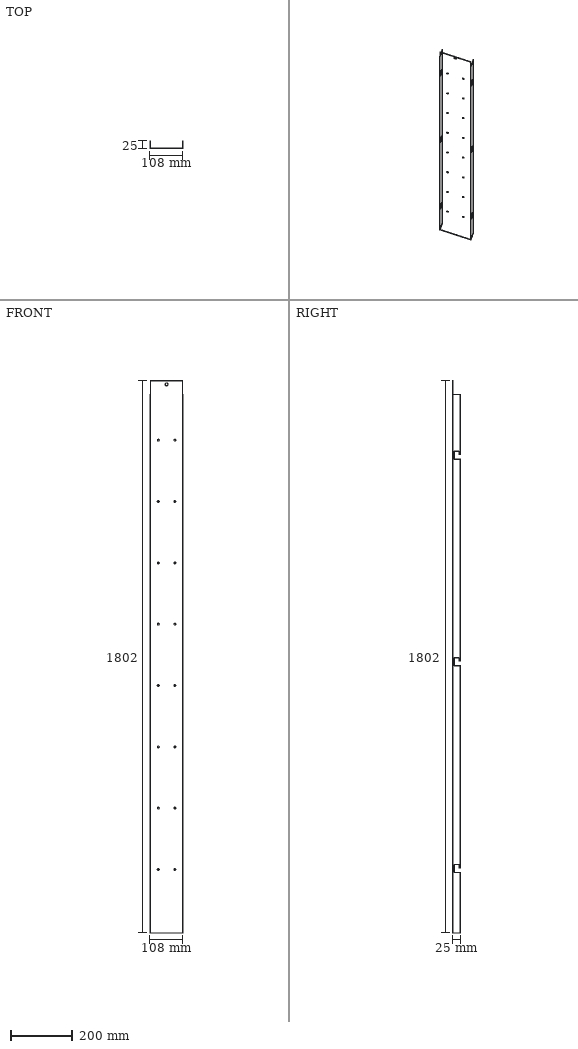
import cadquery as cq

length = 1802.0
width = 108.0
depth = 25.0
thickness = 1.5

tongue_length = 45.0
tongue_inset = thickness

hole_diameter = 5.0
hole_rows = 8
hole_pitch = 200.0
hole_spacing = 54.0
lowest_hole_z = 207.0

hanging_hole_diameter = 9.0
hanging_hole_drop = 13.0

hook_count = 3
hook_pitch = 674.0
lowest_hook_z = 198.0
hook_entry_height = 15.0
hook_height = 25.0
hook_leg_width = 15.0
hook_reach = 20.0


def make_channel():
    """Full-length U section with the top corners and flange tops cut away."""
    outer = cq.Workplane("XY").box(width, depth, length, centered=(True, False, False))
    inner = (
        cq.Workplane("XY")
        .box(width - 2 * thickness, depth, length, centered=(True, False, False))
        .translate((0, thickness, 0))
    )
    channel = outer.cut(inner)
    corner = cq.Workplane("XY").box(tongue_inset, depth, tongue_length, centered=False)
    shoulder_z = length - tongue_length
    for corner_x in (-width / 2, width / 2 - tongue_inset):
        channel = channel.cut(corner.translate((corner_x, 0, shoulder_z)))
    return channel


def make_web_holes():
    """Two columns of round holes through the web."""
    middle_z = lowest_hole_z + (hole_rows - 1) * hole_pitch / 2
    return (
        cq.Workplane("XZ")
        .center(0, middle_z)
        .rarray(hole_spacing, hole_pitch, 2, hole_rows)
        .circle(hole_diameter / 2)
        .extrude(-thickness)
    )


def make_hanging_hole():
    """Round hole just below the top edge of the web."""
    return (
        cq.Workplane("XZ")
        .center(0, length - hanging_hole_drop)
        .circle(hanging_hole_diameter / 2)
        .extrude(-thickness)
    )


def make_hook_slot(bottom_z):
    """L-shaped slot passing through both flanges."""
    inner_y = depth - hook_reach
    leg_y = inner_y + hook_leg_width
    entry_top_z = bottom_z + hook_entry_height
    top_z = bottom_z + hook_height
    return (
        cq.Workplane("YZ")
        .polyline([
            (depth, bottom_z),
            (inner_y, bottom_z),
            (inner_y, top_z),
            (leg_y, top_z),
            (leg_y, entry_top_z),
            (depth, entry_top_z),
        ])
        .close()
        .extrude(width / 2, both=True)
    )


result = make_channel().cut(make_web_holes()).cut(make_hanging_hole())
for hook in range(hook_count):
    result = result.cut(make_hook_slot(lowest_hook_z + hook * hook_pitch))